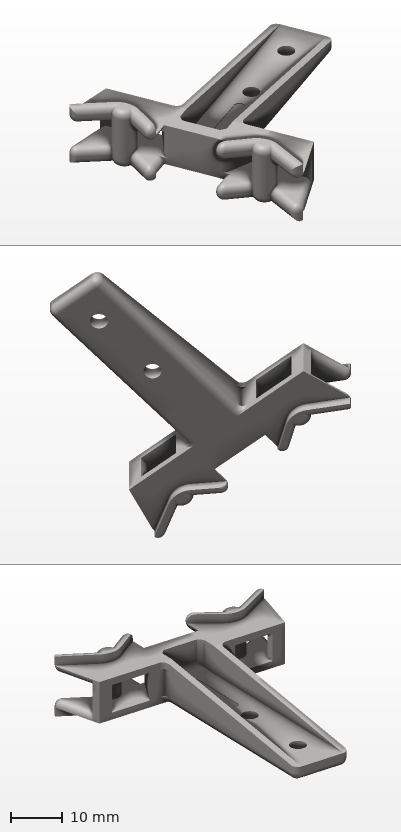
import cadquery as cq
import math

body_height = 9.0
middle_height = body_height / 2
plate_thickness = 1.5
edge_round = 1.5

arm_length = 43.0
arm_width = 13.0
arm_tip_height = 3.0
arm_bottom_round = 1.49
channel_width = 10.0
channel_front_y = -4.0
channel_corner_chamfer = 1.0
hole_diameter = 3.5
hole_positions_y = (19.0, 35.0)
label_length = 14.8
label_width = 2.2
label_center_y = 7.2
label_depth = 0.2

bar_front_y = -7.0
notch_half_width = 6.5
outer_side_angle = math.radians(15)
outer_finger_angle = math.radians(30)
inner_finger_angle = math.radians(35)
finger_end_y = -12.0
outer_tip_round = 1.5
outer_tip_center_x = 23.5
inner_tip_round = 1.25
inner_tip_center_x = notch_half_width + inner_tip_round
valley_round = 3.0

ridge_height = 2.0
ridge_width = 2.0
peg_x = 15.0
peg_y = -7.0
peg_radius = 2.5

web_thickness = 1.7
window_inner_x = 10.2
window_outer_x = 19.2

run_out = 5.0
position_tolerance = 1e-3


def from_center(center, radius, angle):
    """Point at the given distance and direction from a center."""
    return (center[0] + radius * math.cos(angle), center[1] + radius * math.sin(angle))


def lines_crossing(point_a, angle_a, point_b, angle_b):
    """Crossing point of two lines, each given by a point and a direction."""
    dx = point_b[0] - point_a[0]
    dy = point_b[1] - point_a[1]
    turn = math.sin(angle_b - angle_a)
    along = (dx * math.sin(angle_b) - dy * math.cos(angle_b)) / turn
    return from_center(point_a, along, angle_a)


def prism(sketch, bottom, top):
    """Extrude a closed XY outline between two heights."""
    return sketch.extrude(top - bottom).translate((0, 0, bottom))


down = -math.pi / 2
outer_tip = (outer_tip_center_x, finger_end_y + outer_tip_round)
inner_tip = (inner_tip_center_x, finger_end_y + inner_tip_round)
outer_line_angle = -outer_finger_angle
inner_line_angle = inner_finger_angle
outer_front = from_center(outer_tip, outer_tip_round, down - outer_finger_angle)
inner_front = from_center(inner_tip, inner_tip_round, down + inner_finger_angle)
outer_side = from_center(outer_tip, outer_tip_round, outer_side_angle)
rear_corner_x = outer_side[0] + outer_side[1] * math.tan(outer_side_angle)
valley = lines_crossing(inner_front, inner_line_angle, outer_front, outer_line_angle)


def half_outline(rounded_outer_tip):
    """Plan of the +X half of a plate; without its tip round, the outer finger runs on straight."""
    outline = (
        cq.Workplane("XY")
        .moveTo(0, 0)
        .lineTo(0, bar_front_y)
        .lineTo(notch_half_width, bar_front_y)
        .lineTo(notch_half_width, inner_tip[1])
        .threePointArc(
            from_center(inner_tip, inner_tip_round, (down + inner_finger_angle - math.pi) / 2),
            inner_front,
        )
        .lineTo(*valley)
    )
    if rounded_outer_tip:
        tip_middle_angle = (down - outer_finger_angle + outer_side_angle) / 2
        outline = (
            outline.lineTo(*outer_front)
            .threePointArc(from_center(outer_tip, outer_tip_round, tip_middle_angle), outer_side)
            .lineTo(rear_corner_x, 0)
        )
    else:
        finger_run_out = from_center(outer_front, run_out, outer_line_angle)
        outline = outline.lineTo(*finger_run_out).lineTo(finger_run_out[0], 0)
    return outline.close()


def round_upright_edge(solid, point, radius):
    """Round the upright edge that stands at the given XY point of a prism."""
    nearest = cq.selectors.NearestToPointSelector((point[0], point[1], solid.val().Center().z))
    return solid.edges("|Z").edges(nearest).fillet(radius)


def finger_block(rounded_outer_tip, bottom, top):
    """Prism of the +X half with the valley between its two fingers rounded."""
    return round_upright_edge(prism(half_outline(rounded_outer_tip), bottom, top), valley, valley_round)


def make_half_plate():
    """Upper plate of the +X half, its free edges rounded on the inner (lower) face."""
    bottom = body_height - plate_thickness
    block = finger_block(True, bottom, body_height + run_out)
    edges = [edge for edge in block.faces("<Z").edges().vals() if is_free_edge(edge)]
    block = block.newObject(edges).fillet(edge_round)
    return block.intersect(prism(half_outline(True), bottom, body_height))


def is_free_edge(edge):
    """True for the edges along the fingers and their sides, not the rear, middle or notch front."""
    middle = edge.positionAt(0.5)
    on_rear = middle.y > -position_tolerance
    on_middle = middle.x < notch_half_width - position_tolerance
    return not (on_rear or on_middle)


def make_space_behind_ridge():
    """Space above the upper plate and behind the ridge of the +X fingers."""
    inner_rear = from_center(inner_front, ridge_width, math.pi / 2 + inner_finger_angle)
    outer_rear = from_center(outer_front, ridge_width, math.pi / 2 - outer_finger_angle)
    rear_valley = lines_crossing(inner_rear, inner_line_angle, outer_rear, outer_line_angle)
    space = (
        cq.Workplane("XY")
        .moveTo(*lines_crossing(inner_rear, inner_line_angle, (0, 0), math.pi / 2))
        .lineTo(*rear_valley)
        .lineTo(*from_center(outer_rear, run_out, outer_line_angle))
        .lineTo(outer_tip_center_x + run_out, 0)
        .lineTo(0, 0)
        .close()
    )
    space = prism(space, body_height, body_height + ridge_height)
    return round_upright_edge(space, rear_valley, valley_round + ridge_width)


def make_ridge():
    """Ridge along the V of the +X fingers, with its top front edge rounded."""
    top = body_height + ridge_height
    block = finger_block(False, body_height - plate_thickness, top)
    run_out_x = outer_front[0] + run_out * math.cos(outer_finger_angle)
    edges = [
        edge
        for edge in block.faces(">Z").edges().vals()
        if is_free_edge(edge) and edge.positionAt(0.5).x < run_out_x - position_tolerance
    ]
    block = block.newObject(edges).fillet(edge_round)

    return block.cut(make_space_behind_ridge()).intersect(prism(half_outline(True), body_height, top))


def make_peg():
    """Peg joining the plates in the valley of the +X V, trimmed flush with the rear of the ridges."""
    peg_length = body_height + 2 * ridge_height
    peg = cq.Workplane("XY").circle(peg_radius).extrude(peg_length).edges().fillet(edge_round)
    peg = peg.translate((peg_x, peg_y, -ridge_height))
    upper_space = make_space_behind_ridge()
    lower_space = upper_space.mirror("XY", (0, 0, middle_height))
    return peg.cut(upper_space).cut(lower_space)


def make_web():
    """Core of the +X half: the solid middle between the plates and the full-height strip at the outer end."""
    middle = prism(
        cq.Workplane("XY").polyline(
            [(0, 0), (0, bar_front_y), (notch_half_width, bar_front_y), (window_inner_x, 0)]
        ).close(),
        plate_thickness,
        body_height - plate_thickness,
    )
    middle = round_upright_edge(middle, (notch_half_width, bar_front_y), edge_round)
    web_front_x = rear_corner_x + web_thickness * math.tan(outer_side_angle)
    strip = prism(
        cq.Workplane("XY").polyline(
            [
                (window_outer_x, 0),
                (window_outer_x, -web_thickness),
                (web_front_x, -web_thickness),
                (rear_corner_x, 0),
            ]
        ).close(),
        0,
        body_height,
    )
    return middle.union(strip)


def make_half_crossbar():
    """The +X half of the crossbar, with the lower plate and ridge mirrored from the upper ones."""
    upper = make_half_plate().union(make_ridge())
    lower = upper.mirror("XY", (0, 0, middle_height))
    return make_web().union(upper).union(lower).union(make_peg())


def make_arm():
    """Tapered arm with rounded end corners and lower edges, flared into the plates at its root."""
    half_width = arm_width / 2
    arm = cq.Workplane("XY").box(arm_width, arm_length, body_height, centered=(True, False, False))
    arm = arm.edges("|Z and >Y").fillet(edge_round)
    for side in (1, -1):
        flare = (
            cq.Workplane("XY")
            .moveTo(side * half_width, 0)
            .lineTo(side * (half_width + edge_round), 0)
            .radiusArc((side * half_width, edge_round), side * edge_round)
            .close()
            .extrude(plate_thickness)
        )
        arm = arm.union(flare).union(flare.translate((0, 0, body_height - plate_thickness)))
    arm = arm.faces("<Z").edges("not <Y").fillet(arm_bottom_round)
    taper = (
        cq.Workplane("YZ")
        .polyline([(0, body_height), (arm_length, arm_tip_height), (arm_length, body_height)])
        .close()
        .extrude(arm_width, both=True)
    )
    return arm.cut(taper)


def make_channel():
    """Channel along the arm, with a rounded floor edge and chamfered corners at its front end."""
    length = arm_length - channel_front_y
    channel = cq.Workplane("XY").box(channel_width, length, body_height, centered=(True, False, False))
    channel = channel.translate((0, channel_front_y, arm_tip_height))
    floor_round = channel.edges("<Y and <Z").fillet(edge_round)
    return floor_round.intersect(channel.edges("|Z and <Y").chamfer(channel_corner_chamfer))


def make_holes():
    """Screw holes through the floor of the arm."""
    holes = cq.Workplane("XY").pushPoints([(0, y) for y in hole_positions_y])
    return holes.circle(hole_diameter / 2).extrude(body_height)


def make_label_recess():
    """Shallow rounded recess in the channel floor."""
    recess = cq.Workplane("XY").slot2D(label_length, label_width, 90).extrude(body_height)
    return recess.translate((0, label_center_y, arm_tip_height - label_depth))


half_crossbar = make_half_crossbar()
crossbar = half_crossbar.union(half_crossbar.mirror("YZ"))
result = crossbar.union(make_arm()).cut(make_channel()).cut(make_holes()).cut(make_label_recess())